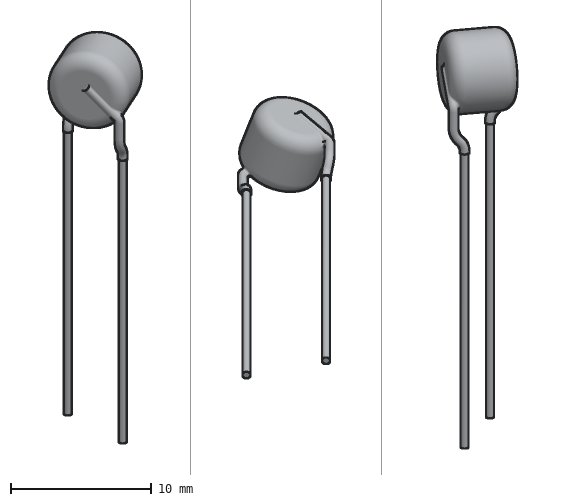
import cadquery as cq
import math


DISC_DIAMETER = 6.0
DISC_DEPTH = 4.95
DISC_EDGE_RADIUS = 1.05

ROOT_DIAMETER = 0.7
ROOT_BLEND_RADIUS = 0.15
OVERALL_DEPTH = 5.3
LEAD_TURNS = (0, 180)
LEAD_SPACING_X = 5.0
LEAD_SPACING_Y = 2.98
SHOULDER_RADIUS = 0.5
SHOULDER_ANGLE = 47.0
SLOPED_LENGTH = 3.0
UPRIGHT_TOP = -1.85
UPRIGHT_BOTTOM = -3.2
CRIMP_ANGLE = 47.0
UPPER_CRIMP_RADIUS = 1.45
ROOT_TAIL = 0.15

SEAM_SAMPLES = (0.2, 0.5, 0.8)
SEAM_TOLERANCE = 0.0003

WIRE_DIAMETER = 0.6
OVERALL_HEIGHT = 31.0

WIRE_X = LEAD_SPACING_X / 2
WIRE_Y = -LEAD_SPACING_Y / 2
ROOT_Y = -(OVERALL_DEPTH - ROOT_DIAMETER) / 2
WIRE_BOTTOM = DISC_DIAMETER / 2 - OVERALL_HEIGHT

CRIMP_SIN = math.sin(math.radians(CRIMP_ANGLE))
CRIMP_COS = math.cos(math.radians(CRIMP_ANGLE))
CRIMP_RADIUS_SUM = (WIRE_Y - ROOT_Y) / (1 - CRIMP_COS)
LOWER_CRIMP_RADIUS = CRIMP_RADIUS_SUM - UPPER_CRIMP_RADIUS
CRIMP_BOTTOM = UPRIGHT_BOTTOM - CRIMP_RADIUS_SUM * CRIMP_SIN
ROOT_BOTTOM = CRIMP_BOTTOM - ROOT_TAIL


def turned(front_shape, turn):
    """Turn a front lead shape about Z into its place."""
    return front_shape.rotate((0, 0, 0), (0, 0, 1), turn)


def make_disc():
    disc = cq.Workplane("XZ", origin=(0, DISC_DEPTH / 2, 0)).circle(DISC_DIAMETER / 2).extrude(DISC_DEPTH)
    return disc.faces("<Y or >Y").edges().fillet(DISC_EDGE_RADIUS)


def root_path():
    """Centreline of the front root, from its lower end up to its tip on the disc face."""
    up = cq.Vector(0, 0, 1)
    crimp_tilt = cq.Vector(0, -CRIMP_SIN, CRIMP_COS)
    angle = math.radians(SHOULDER_ANGLE)
    slope = cq.Vector(-math.sin(angle), 0, math.cos(angle))

    lower_end = cq.Vector(WIRE_X, WIRE_Y, ROOT_BOTTOM)
    crimp_start = cq.Vector(WIRE_X, WIRE_Y, CRIMP_BOTTOM)
    crimp_middle = crimp_start + cq.Vector(0, CRIMP_COS - 1, CRIMP_SIN) * LOWER_CRIMP_RADIUS
    upright_start = cq.Vector(WIRE_X, ROOT_Y, UPRIGHT_BOTTOM)
    upright_end = cq.Vector(WIRE_X, ROOT_Y, UPRIGHT_TOP)
    slope_start = upright_end + cq.Vector(math.cos(angle) - 1, 0, math.sin(angle)) * SHOULDER_RADIUS
    tip = slope_start + slope * SLOPED_LENGTH

    return cq.Wire.assembleEdges([
        cq.Edge.makeLine(lower_end, crimp_start),
        cq.Edge.makeTangentArc(crimp_start, up, crimp_middle),
        cq.Edge.makeTangentArc(crimp_middle, crimp_tilt, upright_start),
        cq.Edge.makeLine(upright_start, upright_end),
        cq.Edge.makeTangentArc(upright_end, up, slope_start),
        cq.Edge.makeLine(slope_start, tip),
    ])


def make_root():
    profile = cq.Workplane("XY", origin=(WIRE_X, WIRE_Y, ROOT_BOTTOM)).circle(ROOT_DIAMETER / 2)
    return profile.sweep(root_path())


def seam_edges(joined, first, second):
    """Edges of the joined solid that lie on the surfaces of both original solids."""
    skins = [first.val().Shells()[0], second.val().Shells()[0]]

    def on_both(edge):
        samples = [cq.Vertex.makeVertex(*edge.positionAt(t).toTuple()) for t in SEAM_SAMPLES]
        return all(skin.distance(sample) < SEAM_TOLERANCE for skin in skins for sample in samples)

    return [edge for edge in joined.edges().vals() if on_both(edge)]


def add_root(body, root):
    """Join a root to the body and fillet the seam all round, tip included."""
    joined = body.union(root)
    return joined.newObject(seam_edges(joined, body, root)).fillet(ROOT_BLEND_RADIUS)


def make_coated_body():
    front_root = make_root()
    body = make_disc()
    for turn in LEAD_TURNS:
        body = add_root(body, turned(front_root, turn))
    return body


def make_wire():
    profile = cq.Workplane("XY", origin=(WIRE_X, WIRE_Y, WIRE_BOTTOM)).circle(WIRE_DIAMETER / 2)
    return profile.extrude(ROOT_BOTTOM - WIRE_BOTTOM)


coated_body = make_coated_body()
front_wire = make_wire()
wires = [turned(front_wire, turn) for turn in LEAD_TURNS]

result = cq.Compound.makeCompound([coated_body.val(), *[wire.val() for wire in wires]])